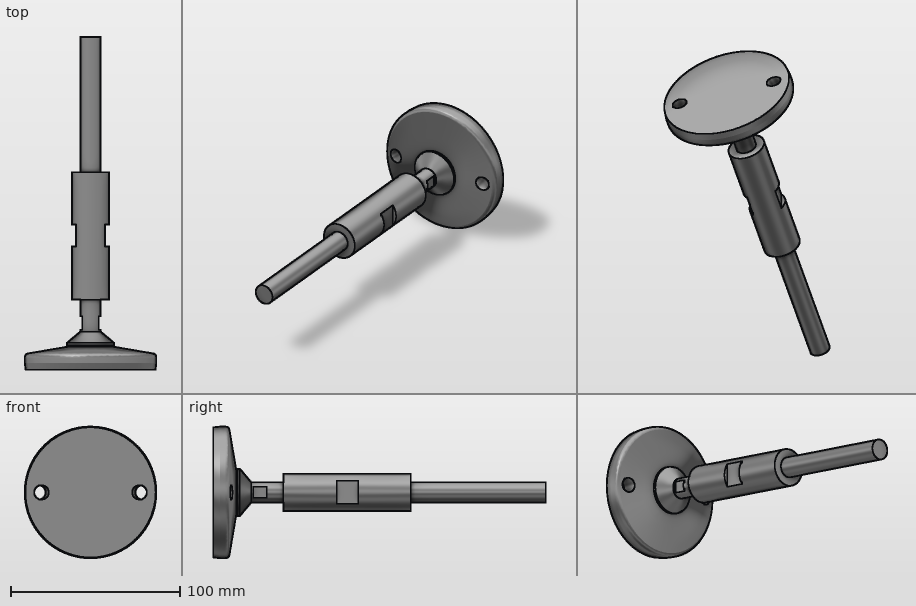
import cadquery as cq
import math

TOTAL_LENGTH = 197.0

PAD_DIAMETER = 78.0
PAD_FACE_DIAMETER = 77.0
PAD_TAPER_HEIGHT = 4.1
PAD_SHOULDER_HEIGHT = 9.5
PAD_TOP_HEIGHT = 13.8
PAD_TOP_DIAMETER = 26.8
PAD_EDGE_RADIUS = 2.5
ANCHOR_HOLE_DIAMETER = 8.5
ANCHOR_HOLE_OFFSET = 29.0

ROD_DIAMETER = 12.0
FLANGE_DIAMETER = 28.0
FLANGE_BEVEL_TOP = 14.5
FLANGE_RIM_TOP = 16.0
FLANGE_CONE_TOP = 22.7
ROD_FLATS_START = 23.8
ROD_FLATS_END = 31.7
ROD_FLATS_WIDTH = 10.0

SLEEVE_DIAMETER = 22.0
SLEEVE_START = 41.5
SLEEVE_END = 117.0
SLEEVE_FLATS_START = 73.0
SLEEVE_FLATS_END = 85.9
SLEEVE_FLATS_WIDTH = 17.3


def revolve_about_y(outline):
    """Turn a closed (radius, height) outline into a solid around the Y axis."""
    return cq.Workplane("XY").polyline(outline).close().revolve(360, (0, 0), (0, 1))


def make_pad():
    pad_radius = PAD_DIAMETER / 2
    top_radius = PAD_TOP_DIAMETER / 2
    pad = revolve_about_y([
        (0, 0),
        (PAD_FACE_DIAMETER / 2, 0),
        (pad_radius, PAD_TAPER_HEIGHT),
        (pad_radius, PAD_SHOULDER_HEIGHT),
        (top_radius, PAD_TOP_HEIGHT),
        (0, PAD_TOP_HEIGHT),
    ])
    shoulder_centre = (0, PAD_SHOULDER_HEIGHT, 0)
    pad = pad.edges(cq.selectors.NearestToPointSelector(shoulder_centre)).fillet(PAD_EDGE_RADIUS)

    slope = math.atan2(PAD_TOP_HEIGHT - PAD_SHOULDER_HEIGHT, pad_radius - top_radius)
    for side in (-1, 1):
        axis = cq.Vector(side * math.sin(slope), math.cos(slope), 0)
        face_point = cq.Vector(side * ANCHOR_HOLE_OFFSET, 0, 0)
        start = face_point - axis * PAD_TOP_HEIGHT
        hole = cq.Solid.makeCylinder(ANCHOR_HOLE_DIAMETER / 2, 2 * PAD_TOP_HEIGHT, start, axis)
        pad = pad.cut(cq.Workplane(obj=hole))
    return pad


def cut_flats(body, start, end, width):
    """Cut a pair of wrench flats facing -X and +X between two heights."""
    depth = SLEEVE_DIAMETER
    for side in (-1, 1):
        cutter = (
            cq.Workplane("XY")
            .box(depth, end - start, SLEEVE_DIAMETER)
            .translate((side * (width + depth) / 2, (start + end) / 2, 0))
        )
        body = body.cut(cutter)
    return body


def make_rod():
    rod_radius = ROD_DIAMETER / 2
    flange_radius = FLANGE_DIAMETER / 2
    rod = revolve_about_y([
        (0, PAD_TOP_HEIGHT),
        (PAD_TOP_DIAMETER / 2, PAD_TOP_HEIGHT),
        (flange_radius, FLANGE_BEVEL_TOP),
        (flange_radius, FLANGE_RIM_TOP),
        (rod_radius, FLANGE_CONE_TOP),
        (rod_radius, TOTAL_LENGTH),
        (0, TOTAL_LENGTH),
    ])
    return cut_flats(rod, ROD_FLATS_START, ROD_FLATS_END, ROD_FLATS_WIDTH)


def make_foot():
    """Pad, flange and rod form one solid."""
    return make_pad().union(make_rod())


def make_sleeve():
    """The bore fits the rod closely along the whole sleeve."""
    bore_radius = ROD_DIAMETER / 2
    outer_radius = SLEEVE_DIAMETER / 2
    sleeve = revolve_about_y([
        (bore_radius, SLEEVE_START),
        (outer_radius, SLEEVE_START),
        (outer_radius, SLEEVE_END),
        (bore_radius, SLEEVE_END),
    ])
    return cut_flats(sleeve, SLEEVE_FLATS_START, SLEEVE_FLATS_END, SLEEVE_FLATS_WIDTH)


foot = make_foot()
sleeve = make_sleeve()

result = cq.Compound.makeCompound([*foot.solids().vals(), *sleeve.solids().vals()])